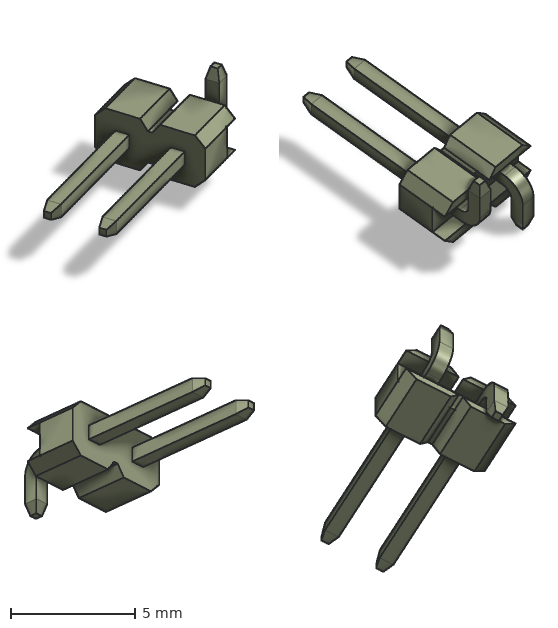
import cadquery as cq


total_length = 9.84
tail_reach = 2.5

pitch = 2.54
pin_count = 2
body_width = pin_count * pitch
body_height = 2.5
body_depth = 2.5
corner_width = 0.48
waist_height = 1.52
notch_outer_width = 0.925
notch_inner_width = 0.2
rear_slot_depth = 0.68

pin_size = 0.64
tip_size = 0.33
tip_length = 0.56
bend_inner_radius = 0.47
bend_outer_radius = 1.02
tail_gap = 1.04

tail_back = body_depth + tail_gap
pin_front = tail_back - total_length
half_pin = pin_size / 2
tail_front = tail_back - pin_size
tail_center = tail_back - half_pin
pin_offset = pitch / 2


def make_body():
    """Octagonal cells joined by a narrow waist, with a slot across the rear."""
    half_width = body_width / 2
    half_height = body_height / 2
    half_waist = waist_height / 2
    upper_outline = [
        (-half_width, half_waist),
        (-half_width + corner_width, half_height),
        (-notch_outer_width / 2, half_height),
        (-notch_inner_width / 2, half_waist),
        (notch_inner_width / 2, half_waist),
        (notch_outer_width / 2, half_height),
        (half_width - corner_width, half_height),
        (half_width, half_waist),
    ]
    lower_outline = [(x, -z) for x, z in reversed(upper_outline)]
    body = cq.Workplane("XZ").polyline(upper_outline + lower_outline).close().extrude(-body_depth)
    slot = (
        cq.Workplane("XY")
        .box(body_width, rear_slot_depth, waist_height)
        .translate((0, body_depth - rear_slot_depth / 2, 0))
    )
    return body.cut(slot)


def make_tip(base, direction):
    """Tapered square tip that starts at base and points along direction."""
    plane = cq.Plane(origin=base, xDir=(1, 0, 0), normal=direction)
    return (
        cq.Workplane(plane)
        .rect(pin_size, pin_size)
        .workplane(offset=tip_length)
        .rect(tip_size, tip_size)
        .loft(ruled=True)
    )


def make_pin(x, side):
    """Square pin along Y whose tail bends up (side = 1) or down (side = -1)."""
    shank_start = pin_front + tip_length
    tail_end = side * (tail_reach - tip_length)
    inner_z = side * half_pin
    outer_z = -inner_z
    shank = (
        cq.Workplane("YZ", origin=(x, 0, 0))
        .moveTo(shank_start, inner_z)
        .lineTo(tail_front - bend_inner_radius, inner_z)
        .tangentArcPoint((tail_front, inner_z + side * bend_inner_radius), relative=False)
        .lineTo(tail_front, tail_end)
        .lineTo(tail_back, tail_end)
        .lineTo(tail_back, outer_z + side * bend_outer_radius)
        .tangentArcPoint((tail_back - bend_outer_radius, outer_z), relative=False)
        .lineTo(shank_start, outer_z)
        .close()
        .extrude(half_pin, both=True)
    )
    front_tip = make_tip((x, shank_start, 0), (0, -1, 0))
    tail_tip = make_tip((x, tail_center, tail_end), (0, 0, side))
    return shank.union(front_tip).union(tail_tip)


result = make_body()
for pin_x, tail_side in ((-pin_offset, -1), (pin_offset, 1)):
    result = result.union(make_pin(pin_x, tail_side))